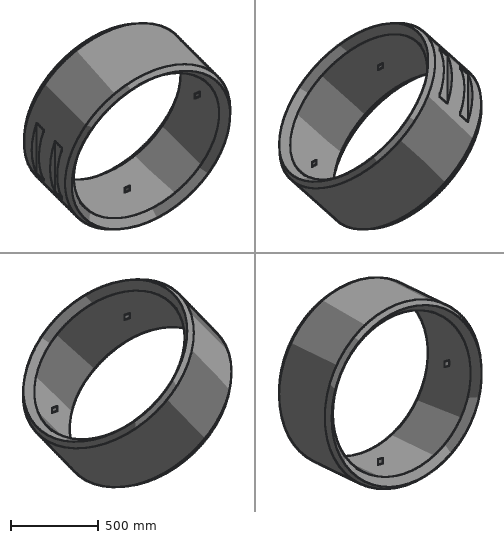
import cadquery as cq

outer_radius = 570.0
inner_radius = 500.0
ring_width = 491.0
half_width = ring_width / 2

outer_bevel_length = 33.0
outer_bevel_depth = 24.0
rim_radius = outer_radius - outer_bevel_depth
inner_bevel_depth = rim_radius - inner_radius
inner_bevel_length = inner_bevel_depth

slot_width = 74.0
slot_spacing = 189.0
slot_depth = 34.0

tab_size = 34.0
tab_thickness = 2.0
tab_embed = 6.0
tab_count = 4


def make_ring():
    outer_edge = half_width - outer_bevel_length
    inner_edge = half_width - inner_bevel_length
    profile = [
        (-half_width, rim_radius),
        (-outer_edge, outer_radius),
        (outer_edge, outer_radius),
        (half_width, rim_radius),
        (inner_edge, inner_radius),
        (-inner_edge, inner_radius),
    ]
    return cq.Workplane("XY").polyline(profile).close().revolve(360, (0, 0, 0), (1, 0, 0))


def make_slot_cutter(x_center):
    cutter = cq.Workplane("XY").box(slot_width, 2 * slot_depth, 2 * outer_radius)
    return cutter.translate((x_center, -outer_radius, 0))


def make_tab(angle):
    tab_height = tab_size + tab_embed
    tab_center = inner_radius + tab_embed - tab_height / 2
    tab = cq.Workplane("XY").box(tab_thickness, tab_size, tab_height)
    return tab.translate((0, 0, tab_center)).rotate((0, 0, 0), (1, 0, 0), angle)


result = make_ring()
for side in (-1, 1):
    result = result.cut(make_slot_cutter(side * slot_spacing / 2))
for index in range(tab_count):
    result = result.union(make_tab(index * 360 / tab_count))